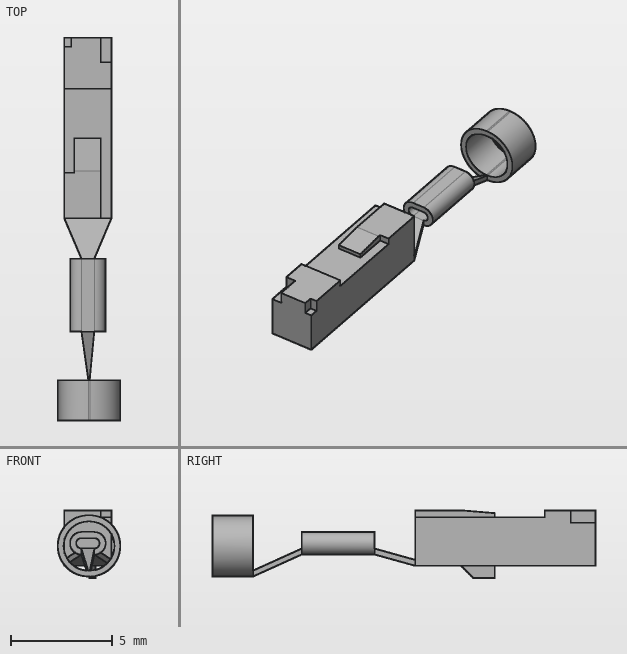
import cadquery as cq

sheet = 0.3

ring_height = 3.02
ring_flat = 0.08
ring_length = 2.0

barrel_height = 1.12
barrel_flat = 0.65
barrel_z = 0.13

total_length = 18.9
body_length = 8.9
body_width = 2.35
body_height = 2.74
body_top = 1.75
body_x = -0.05

front_strap_length = 2.4
rear_strap_length = 2.0

step_depth = 0.34
recess_start_from_back = 2.51
recess_end_from_back = 6.67
rail_width = 0.53
wide_notch_length = 1.21
corner_notch_width = 0.35
corner_notch_length = 0.45
back_notch_depth = 0.6

tongue_inset = 0.51
tongue_land = 0.11
tongue_length = 1.59
tongue_drop = 0.13

lug_left = 0.02
lug_width = 0.3
lug_depth = 0.6
lug_base_length = 1.66
lug_tip_length = 1.05

barrel_front = ring_length + front_strap_length
body_front = total_length - body_length
barrel_back = body_front - rear_strap_length
barrel_length = barrel_back - barrel_front
body_left = body_x - body_width / 2
body_right = body_left + body_width
body_bottom = body_top - body_height
recess_back = total_length - recess_start_from_back
recess_front = total_length - recess_end_from_back
step_floor = body_top - step_depth
tongue_tip = recess_front + tongue_land + tongue_length
rail_left = body_right - rail_width


def box(x_min, x_max, y_min, y_max, z_min, z_max):
    size = (x_max - x_min, y_max - y_min, z_max - z_min)
    return cq.Workplane("XY").box(*size, centered=False).translate((x_min, y_min, z_min))


def side_plate(points, x_min, width):
    """Extrude a (Y, Z) outline along +X."""
    return cq.Workplane("YZ", origin=(x_min, 0, 0)).polyline(points).close().extrude(width)


def stadium(flat, height, length, center_x, center_z, front):
    """Solid along Y with a round-ended section."""
    plane = cq.Plane(origin=(center_x, front, center_z), xDir=(1, 0, 0), normal=(0, -1, 0))
    return cq.Workplane(plane).slot2D(flat + height, height).extrude(-length)


def tube(flat, height, length, center_x, center_z, front):
    outer = stadium(flat, height, length, center_x, center_z, front)
    return outer.cut(stadium(flat, height - 2 * sheet, length, center_x, center_z, front))


def strap(front, back):
    """Tapered sloping strip between two (center X, width, Y, bottom Z) ends."""
    def section(center_x, width, y, bottom):
        low, high = center_x - width / 2, center_x + width / 2
        corners = [(low, y, bottom), (high, y, bottom), (high, y, bottom + sheet), (low, y, bottom + sheet)]
        return cq.Wire.makePolygon([cq.Vector(*corner) for corner in corners], close=True)

    return cq.Workplane(cq.Solid.makeLoft([section(*front), section(*back)], True))


def make_body():
    body = box(body_left, body_right, body_front, total_length, body_bottom, body_top)
    recess = box(body_left, body_right, recess_front, recess_back, step_floor, body_top)
    front_rail = box(rail_left, body_right, body_front, recess_front, step_floor, body_top)
    wide_notch = box(
        rail_left, body_right,
        total_length - wide_notch_length, total_length,
        body_top - back_notch_depth, body_top,
    )
    corner = box(
        body_left, body_left + corner_notch_width,
        total_length - corner_notch_length, total_length,
        body_top - back_notch_depth, body_top,
    )
    return body.cut(recess).cut(front_rail).cut(wide_notch).cut(corner)


def make_tongue():
    points = [
        (recess_front, step_floor),
        (tongue_tip, step_floor),
        (tongue_tip, body_top - tongue_drop),
        (tongue_tip - tongue_length, body_top),
        (recess_front, body_top),
    ]
    left = body_left + tongue_inset
    return side_plate(points, left, rail_left - left)


def make_lug():
    lug_bottom = body_bottom - lug_depth
    points = [
        (tongue_tip, body_bottom),
        (tongue_tip, lug_bottom),
        (tongue_tip - lug_tip_length, lug_bottom),
        (tongue_tip - lug_base_length, body_bottom),
    ]
    return side_plate(points, lug_left, lug_width)


ring = tube(ring_flat, ring_height, ring_length, 0, 0, 0)
barrel = tube(barrel_flat, barrel_height, barrel_length, body_x, barrel_z, barrel_front)

barrel_bottom = barrel_z - barrel_height / 2
front_strap = strap(
    (0, ring_flat, ring_length, -ring_height / 2),
    (body_x, barrel_flat, barrel_front, barrel_bottom),
)
rear_strap = strap(
    (body_x, barrel_flat, barrel_back, barrel_bottom),
    (body_x, body_width, body_front, body_bottom),
)

result = make_body()
for piece in (make_tongue(), make_lug(), rear_strap, barrel, front_strap, ring):
    result = result.union(piece)